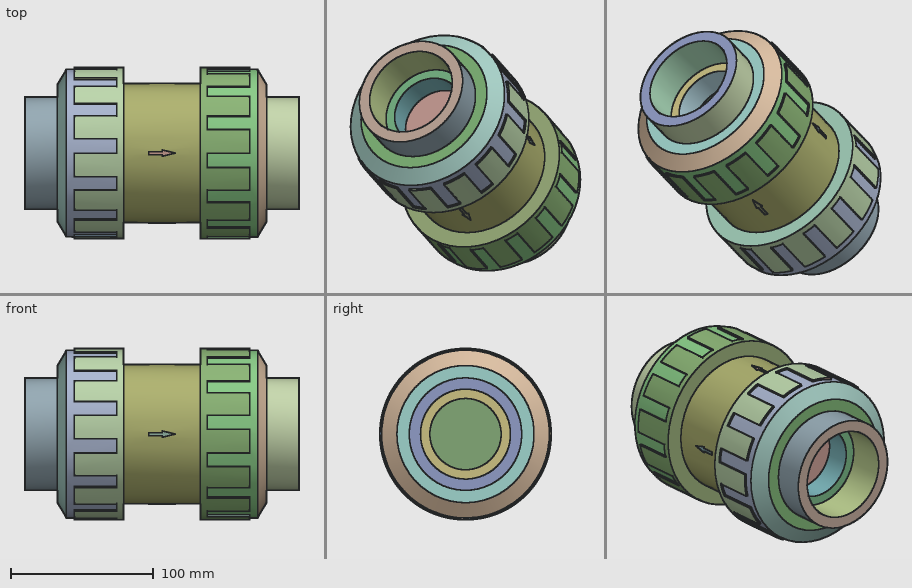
import cadquery as cq
import math

length = 192.0
mid_x = length / 2

pipe_radius = 39.4
socket_radius = 31.5
socket_depth = 28.8
port_radius = 25.0
port_depth = 48.0

barrel_radius = 48.8

nut_start = 22.8
nut_chamfer_end = 29.2
nut_rib_start = 34.8
nut_rib_end = 64.3
nut_end = 69.1
nut_diameter = 120.0
nut_radius = nut_diameter / 2
nut_base_radius = 58.8
nut_face_radius = 48.0

rib_count = 14
rib_pitch = 360 / rib_count
groove_angle = 9.7

arrow_length = 18.5
arrow_head_length = 9.2
arrow_shaft_width = 2.1
arrow_head_width = 4.6
arrow_height = 0.2
arrow_count = 4

clearance = 2.0


def cylinder(start, end, radius):
    """Solid cylinder on the X axis between two X positions."""
    return cq.Workplane("YZ", origin=(start, 0, 0)).circle(radius).extrude(end - start)


def make_slot():
    """Cutter for one gap between ribs, deeper than the groove, from the XZ plane towards +Y."""
    bottom = nut_face_radius
    top = nut_radius + clearance

    def polar(radius, degrees):
        turn = math.radians(degrees)
        return (radius * math.sin(turn), radius * math.cos(turn))

    return (
        cq.Workplane("YZ", origin=(nut_rib_start - clearance, 0, 0))
        .moveTo(*polar(bottom, 0))
        .lineTo(*polar(top, 0))
        .threePointArc(polar(top, groove_angle / 2), polar(top, groove_angle))
        .lineTo(*polar(bottom, groove_angle))
        .close()
        .extrude(nut_rib_end - nut_rib_start + clearance)
    )


def make_nut():
    """Nut at the -X end: a slotted grip over a chamfered core that forms the groove floors."""
    grip = cylinder(nut_rib_start, nut_end, nut_radius)
    slot = make_slot()
    for index in range(rib_count):
        grip = grip.cut(slot.rotate((0, 0, 0), (1, 0, 0), index * rib_pitch))
    core = (
        cq.Workplane("XY")
        .moveTo(nut_start, 0)
        .lineTo(nut_start, nut_face_radius)
        .lineTo(nut_chamfer_end, nut_base_radius)
        .lineTo(nut_end, nut_base_radius)
        .lineTo(nut_end, 0)
        .close()
        .revolve(360, (0, 0, 0), (1, 0, 0))
    )
    return core.union(grip)


def make_arrow():
    """Raised flow arrow on top of the barrel, pointing to +X and curved to the barrel."""
    tail_x = mid_x - arrow_length / 2
    tip_x = mid_x + arrow_length / 2
    head_x = tip_x - arrow_head_length
    shaft = arrow_shaft_width / 2
    head = arrow_head_width / 2
    prism = (
        cq.Workplane("XY")
        .polyline([
            (tail_x, -shaft),
            (head_x, -shaft),
            (head_x, -head),
            (tip_x, 0),
            (head_x, head),
            (head_x, shaft),
            (tail_x, shaft),
        ])
        .close()
        .extrude(barrel_radius + clearance)
    )
    arrow = prism.intersect(cylinder(0, length, barrel_radius + arrow_height))
    return arrow.cut(cylinder(0, length, barrel_radius - clearance))


def turn_end_for_end(shape):
    """Rotate half a turn about the vertical line through the middle of the part."""
    return shape.rotate((mid_x, 0, 0), (mid_x, 0, 1), 180)


nut = make_nut()
result = cylinder(0, length, pipe_radius)
result = result.union(cylinder(nut_end, length - nut_end, barrel_radius))
result = result.union(nut).union(turn_end_for_end(nut))

bore = cylinder(0, socket_depth, socket_radius).union(cylinder(0, port_depth, port_radius))
result = result.cut(bore).cut(turn_end_for_end(bore))

arrow = make_arrow()
for index in range(arrow_count):
    result = result.union(arrow.rotate((0, 0, 0), (1, 0, 0), index * 360 / arrow_count))